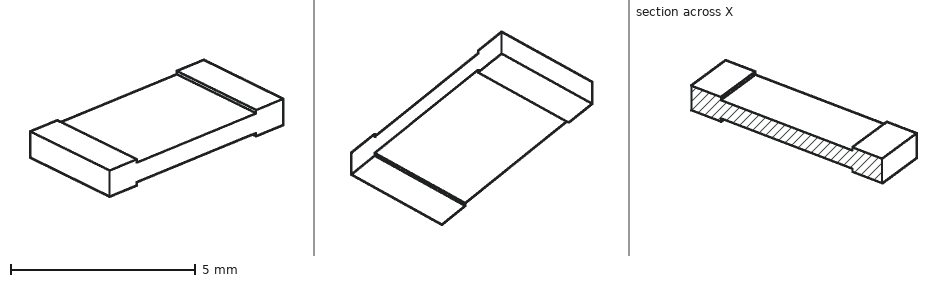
import cadquery as cq

width = 3.2
length = 6.4
height = 0.8
terminal_length = 1.0
terminal_step = 0.1

body_length = length - 2 * terminal_length
body_height = height - 2 * terminal_step
terminal_offset = (length - terminal_length) / 2


def make_body():
    """Thin slab that spans the gap between the terminals."""
    return cq.Workplane("XY").box(width, body_length, body_height)


def make_terminal(side):
    """Full-height end block; side is -1 or +1 along Y."""
    block = cq.Workplane("XY").box(width, terminal_length, height)
    return block.translate((0, side * terminal_offset, 0))


part = make_body()
for side in (-1, 1):
    part = part.union(make_terminal(side))

result = part.translate((0, 0, height / 2))